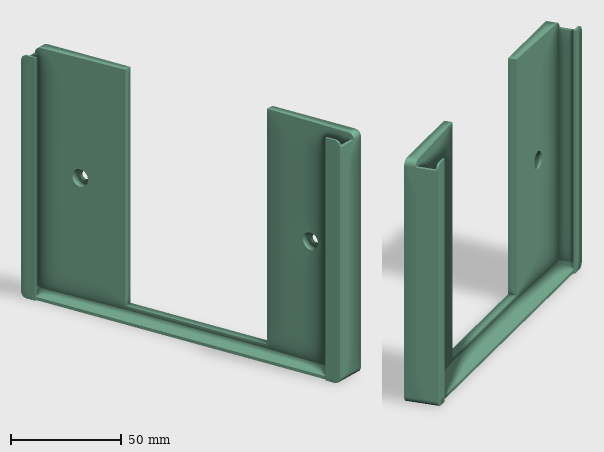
import cadquery as cq

width = 177.2
depth = 16.55
height = 119.53

wall_thickness = 1.55
corner_radius = 3.0
inner_corner_radius = corner_radius - wall_thickness
wall_top = height - corner_radius

lip_thickness = 1.0
lip_width = 8.0

opening_width = 78.7
plate_outer_thickness = 5.65
plate_inner_thickness = 4.15
bar_height = 3.4

screw_diameter = 4.4
counterbore_diameter = 8.5
screw_floor_thickness = 1.4

half_width = width / 2
half_opening = opening_width / 2
screw_x = (half_width + half_opening) / 2
screw_z = (wall_thickness + height) / 2


def prism(x_size, z_bottom, z_top, y_front, y_back):
    """Box centred on X between the given Z and Y limits."""
    return (
        cq.Workplane("XY")
        .box(x_size, y_back - y_front, z_top - z_bottom, centered=(True, False, False))
        .translate((0, y_front, z_bottom))
    )


def rounded_envelope():
    """Full block with its four corners rounded along Y."""
    return prism(width, 0, height, 0, depth).edges("|Y").fillet(corner_radius)


def rim():
    """U-shaped wall behind the lips, stopping below the top corners."""
    outside = prism(width, 0, wall_top, lip_thickness, depth)
    inside = prism(width - 2 * wall_thickness, wall_thickness, 2 * height, 0, depth)
    inside = inside.edges("|Y and <Z").fillet(inner_corner_radius)
    return outside.cut(inside)


def back_plate():
    """Two tapered plates joined by a low flat bar below the central opening."""
    outer_front = depth - plate_outer_thickness
    inner_front = depth - plate_inner_thickness
    plate = (
        cq.Workplane("XY")
        .polyline(
            [
                (-half_width, depth),
                (-half_width, outer_front),
                (-half_opening, inner_front),
                (half_opening, inner_front),
                (half_width, outer_front),
                (half_width, depth),
            ]
        )
        .close()
        .extrude(height)
    )
    return plate.cut(prism(opening_width, bar_height, height, 0, depth))


def lips():
    """Vertical strips that hold the contents in from the front."""
    strip = prism(width, 0, height, 0, lip_thickness)
    return strip.cut(prism(width - 2 * lip_width, 0, height, 0, lip_thickness))


def screw_hole(x):
    """Through hole along Y with a flat-bottomed counterbore opening to the front."""
    front = cq.Workplane("XZ").center(x, screw_z)
    through = front.circle(screw_diameter / 2).extrude(-depth)
    counterbore = front.circle(counterbore_diameter / 2).extrude(-(depth - screw_floor_thickness))
    return through.union(counterbore)


holder = rim().union(back_plate()).union(lips()).intersect(rounded_envelope())
for side in (-1, 1):
    holder = holder.cut(screw_hole(side * screw_x))

result = holder